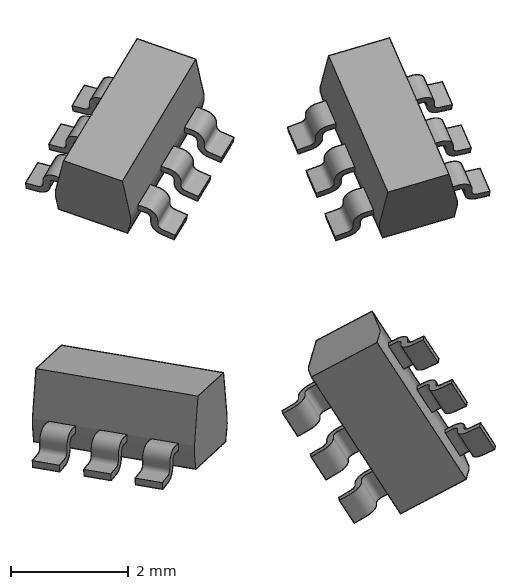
import cadquery as cq
import math

body_length = 3.0
body_width = 1.407
body_top = 1.45
body_bottom = 0.132
draft_angle = math.radians(10)

lead_span = 2.8
lead_thickness = 0.132
lead_width = 0.505
lead_pitch = 0.95
leads_per_side = 3
lead_top = 0.585
shoulder_length = 0.14
inner_bend_radius = 0.1
foot_tilt = math.radians(7)

waist_top = lead_top
waist_bottom = lead_top - lead_thickness


def make_body():
    half_waist = body_width / 2
    half_top = half_waist - (body_top - waist_top) * math.tan(draft_angle)
    half_bottom = half_waist - (waist_bottom - body_bottom) * math.tan(draft_angle)
    right_side = [
        (half_bottom, body_bottom),
        (half_waist, waist_bottom),
        (half_waist, waist_top),
        (half_top, body_top),
    ]
    left_side = [(-x, z) for x, z in reversed(right_side)]
    return (
        cq.Workplane("XZ")
        .polyline(right_side + left_side)
        .close()
        .extrude(body_length / 2, both=True)
    )


def make_lead():
    """Lead on the +X side, centred on Y = 0, swept along the middle of its thickness."""
    half_thickness = lead_thickness / 2
    bend_radius = inner_bend_radius + half_thickness

    root_x = body_width / 2
    shoulder_x = root_x + shoulder_length
    shoulder_z = lead_top - half_thickness
    upper_center_z = shoulder_z - bend_radius
    shank_x = shoulder_x + bend_radius
    upper_mid_angle = math.radians(45)
    upper_mid = (
        shoulder_x + bend_radius * math.cos(upper_mid_angle),
        upper_center_z + bend_radius * math.sin(upper_mid_angle),
    )

    tip_x = lead_span / 2 - half_thickness * math.sin(foot_tilt)
    tip_z = half_thickness * math.cos(foot_tilt)
    lower_center_x = shank_x + bend_radius
    heel_x = lower_center_x - bend_radius * math.sin(foot_tilt)
    heel_z = tip_z + (tip_x - heel_x) * math.tan(foot_tilt)

    lower_center_z = heel_z + bend_radius * math.cos(foot_tilt)
    lower_mid_angle = (math.pi / 2 - foot_tilt) / 2
    lower_mid = (
        lower_center_x - bend_radius * math.cos(lower_mid_angle),
        lower_center_z - bend_radius * math.sin(lower_mid_angle),
    )

    path = (
        cq.Workplane("XZ")
        .moveTo(root_x, shoulder_z)
        .lineTo(shoulder_x, shoulder_z)
        .threePointArc(upper_mid, (shank_x, upper_center_z))
        .lineTo(shank_x, lower_center_z)
        .threePointArc(lower_mid, (heel_x, heel_z))
        .lineTo(tip_x, tip_z)
    )
    return (
        cq.Workplane("YZ", origin=(root_x, 0, shoulder_z))
        .rect(lead_width, lead_thickness)
        .sweep(path)
    )


def make_leads():
    right_lead = make_lead()
    left_lead = right_lead.mirror("YZ")
    leads = []
    for index in range(leads_per_side):
        y = (index - (leads_per_side - 1) / 2) * lead_pitch
        leads.append(right_lead.translate((0, y, 0)).val())
        leads.append(left_lead.translate((0, y, 0)).val())
    return leads


body = make_body()
leads = make_leads()

result = cq.Compound.makeCompound([body.val(), *leads])